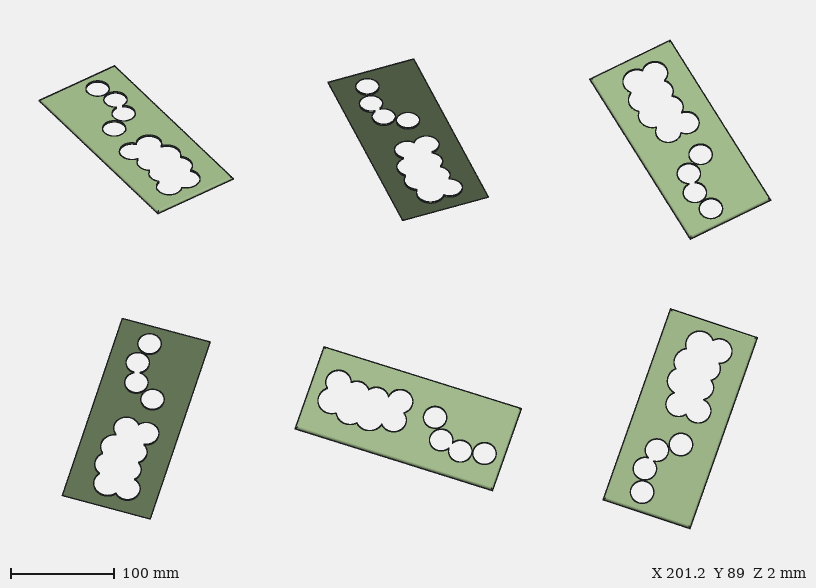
import cadquery as cq

length = 201.2
width = 89.0
thickness = 2.0
edge_inset = 2.5

hole_diameter = 22.5
hole_centers = [(-81.3, 11.0), (-58.3, 16.0), (-37.2, 11.0), (-24.3, -9.0)]

small_lobe = 12.3
large_lobe = 13.5
row_spacing = 20.0
outer_row_y = 6.0
inner_row_y = 11.0

window_columns = [
    (12.9, outer_row_y, small_lobe, small_lobe),
    (35.6, inner_row_y, large_lobe, small_lobe),
    (55.5, inner_row_y, large_lobe, small_lobe),
    (75.6, outer_row_y, large_lobe, small_lobe),
]


def make_rounded_bar(plane, span, depth):
    """Bar along the plane normal whose side arcs meet the top face tangentially."""
    arc_radius = (edge_inset**2 + thickness**2) / (2 * thickness)
    half_span = span / 2
    half_top = half_span - edge_inset
    return (
        cq.Workplane(plane)
        .moveTo(-half_span, 0)
        .lineTo(half_span, 0)
        .radiusArc((half_top, thickness), -arc_radius)
        .lineTo(-half_top, thickness)
        .radiusArc((-half_span, 0), -arc_radius)
        .close()
        .extrude(depth / 2, both=True)
    )


def make_plate():
    """Flat plate with a rounded border that is mitered at the corners."""
    return make_rounded_bar("XZ", length, width).intersect(make_rounded_bar("YZ", width, length))


def make_window_cutter():
    """Polygon through the lobe centers, joined with a cylinder at each center."""
    upper_centers = [(x, y) for x, y, _, _ in window_columns]
    lower_centers = [(x, y - row_spacing) for x, y in upper_centers]
    outline = upper_centers + lower_centers[::-1]
    cutter = cq.Workplane("XY").polyline(outline).close().extrude(thickness)
    for x, y, upper_radius, lower_radius in window_columns:
        upper = cq.Workplane("XY").center(x, y).circle(upper_radius).extrude(thickness)
        lower = cq.Workplane("XY").center(x, y - row_spacing).circle(lower_radius).extrude(thickness)
        cutter = cutter.union(upper).union(lower)
    return cutter


result = make_plate()
for center_x, center_y in hole_centers:
    hole = cq.Workplane("XY").center(center_x, center_y).circle(hole_diameter / 2).extrude(thickness)
    result = result.cut(hole)
result = result.cut(make_window_cutter())